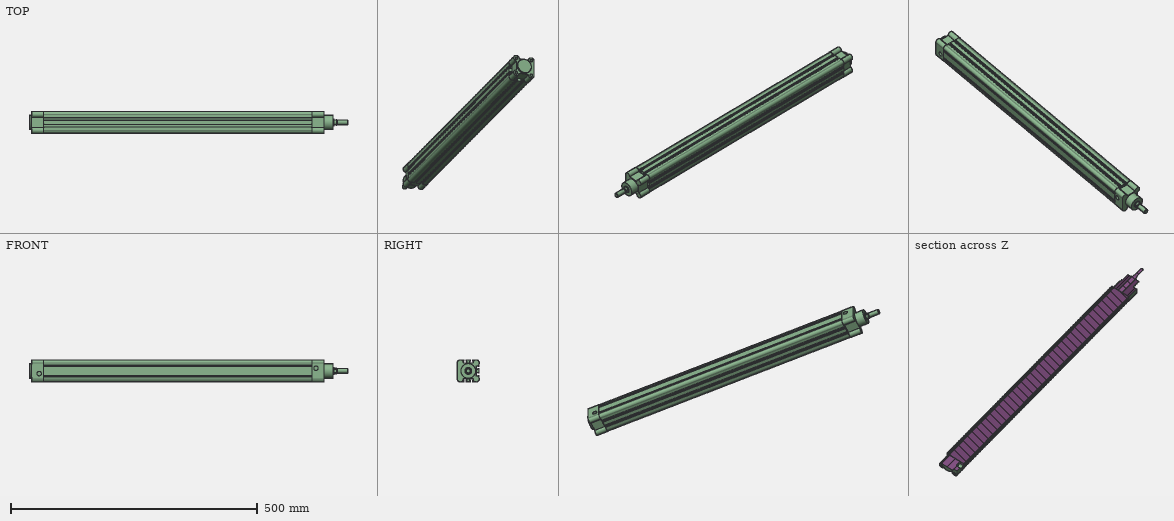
import cadquery as cq

OVERALL_LENGTH = 646.0
CAP_SIDE = 45.0
TUBE_SIDE = 44.5

REAR_CAP_START = 4.0
TUBE_START = 28.5
TUBE_END = 573.0
FRONT_CAP_END = 598.0
COLLAR_END = 616.0
SEAL_END = 617.5
ROD_CHAMFER_START = 623.0
THREAD_START = 625.0

CORNER_RADIUS = 6.25
SPIGOT_RADIUS = 15.0
SEAL_RADIUS = 7.0
SCREW_HOLE_RADIUS = 2.7
SCREW_HOLE_DEPTH = 13.0
PORT_RADIUS = 4.5
PORT_DEPTH = 10.0
PORT_OFFSET = 5.5
REAR_PORT_X = 19.5
FRONT_PORT_X = 581.5

SLOT_INNER = 4.5
SLOT_OUTER = 9.0
SLOT_LIP = 2.5
SLOT_UNDERCUT = 1.0
SLOT_FLOOR = 16.0

GROOVE_INNER = 9.0
GROOVE_OUTER = 12.0
GROOVE_DEPTH = 2.0

ROD_RADIUS = 5.75
THREAD_RADIUS = 5.0
TIP_CHAMFER = 1.0
FLAT_OFFSET = 5.0

HALF_CAP = CAP_SIDE / 2
HALF_TUBE = TUBE_SIDE / 2
PILLAR_CENTRE = HALF_CAP - CORNER_RADIUS
PILLAR_CENTRES = [
    (side_y * PILLAR_CENTRE, side_z * PILLAR_CENTRE)
    for side_y in (-1, 1)
    for side_z in (-1, 1)
]


def plane_at(x):
    """Plane across the cylinder at x, with local axes along Y and Z and its normal along +X."""
    return cq.Workplane("YZ", origin=(x, 0, 0))


def round_section(start, end, radius):
    """Round bar on the cylinder axis from start to end."""
    return plane_at(start).circle(radius).extrude(end - start)


def cap_block(start, end, port_x, port_z):
    """Cap with round corner pillars and an air port in its flat -Y side.

    The pockets between the pillars on the other three sides reach down to the pillar centres.
    """
    length = end - start
    core_width = HALF_CAP + PILLAR_CENTRE
    core_height = 2 * PILLAR_CENTRE
    core = plane_at(start).center((PILLAR_CENTRE - HALF_CAP) / 2, 0)
    block = core.rect(core_width, core_height).extrude(length)
    block = block.union(plane_at(start).pushPoints(PILLAR_CENTRES).circle(CORNER_RADIUS).extrude(length))
    port = (
        cq.Workplane("XZ", origin=(port_x, -HALF_CAP, port_z))
        .circle(PORT_RADIUS)
        .extrude(-PORT_DEPTH)
    )
    return block.cut(port)


def make_rear_cap():
    """Rear cap with a centring spigot and four screw holes in its outer face."""
    cap = cap_block(REAR_CAP_START, TUBE_START, REAR_PORT_X, -PORT_OFFSET)
    cap = cap.union(round_section(0, REAR_CAP_START, SPIGOT_RADIUS))
    holes = (
        plane_at(REAR_CAP_START)
        .pushPoints(PILLAR_CENTRES)
        .circle(SCREW_HOLE_RADIUS)
        .extrude(SCREW_HOLE_DEPTH)
    )
    return cap.cut(holes)


def make_front_cap():
    """Front cap with its collar, rod seal and the bore that the rod runs in."""
    cap = cap_block(TUBE_END, FRONT_CAP_END, FRONT_PORT_X, PORT_OFFSET)
    cap = cap.union(round_section(FRONT_CAP_END, COLLAR_END, SPIGOT_RADIUS))
    cap = cap.union(round_section(COLLAR_END, SEAL_END, SEAL_RADIUS))
    return cap.cut(round_section(TUBE_END, SEAL_END, ROD_RADIUS))


def t_slot(length, side):
    """T-slot in the +Z side of the tube, on the +Y (side = 1) or -Y (side = -1) half of that side."""
    lip_bottom = HALF_TUBE - SLOT_LIP
    points = [
        (SLOT_INNER, HALF_TUBE),
        (SLOT_INNER, lip_bottom),
        (SLOT_INNER - SLOT_UNDERCUT, lip_bottom),
        (SLOT_INNER - SLOT_UNDERCUT, SLOT_FLOOR),
        (SLOT_OUTER + SLOT_UNDERCUT, SLOT_FLOOR),
        (SLOT_OUTER + SLOT_UNDERCUT, lip_bottom),
        (SLOT_OUTER, lip_bottom),
        (SLOT_OUTER, HALF_TUBE),
    ]
    return plane_at(TUBE_START).polyline([(side * y, z) for y, z in points]).close().extrude(length)


def v_groove(length, side):
    """V-groove in the -Y side of the tube, on the +Z (side = 1) or -Z (side = -1) half of that side."""
    middle = (GROOVE_INNER + GROOVE_OUTER) / 2
    points = [
        (-HALF_TUBE, side * GROOVE_INNER),
        (-HALF_TUBE + GROOVE_DEPTH, side * middle),
        (-HALF_TUBE, side * GROOVE_OUTER),
    ]
    return plane_at(TUBE_START).polyline(points).close().extrude(length)


def make_tube():
    """Square profile tube with T-slots on three sides and V-grooves on the -Y side."""
    length = TUBE_END - TUBE_START
    tube = plane_at(TUBE_START).rect(TUBE_SIDE, TUBE_SIDE).extrude(length)
    tube = tube.edges("|X").fillet(CORNER_RADIUS)
    for side in (-1, 1):
        slot = t_slot(length, side)
        for angle in (0, -90, 180):
            tube = tube.cut(slot.rotate((0, 0, 0), (1, 0, 0), angle))
        tube = tube.cut(v_groove(length, side))
    return tube


def make_rod():
    """Piston rod with wrench flats and a thinner threaded end."""
    profile = [
        (TUBE_END, 0),
        (TUBE_END, ROD_RADIUS),
        (ROD_CHAMFER_START, ROD_RADIUS),
        (THREAD_START, THREAD_RADIUS),
        (OVERALL_LENGTH - TIP_CHAMFER, THREAD_RADIUS),
        (OVERALL_LENGTH, THREAD_RADIUS - TIP_CHAMFER),
        (OVERALL_LENGTH, 0),
    ]
    rod = cq.Workplane("XY").polyline(profile).close().revolve(360, (0, 0, 0), (1, 0, 0))
    flat_length = ROD_CHAMFER_START - SEAL_END
    for side in (-1, 1):
        waste = plane_at(SEAL_END).center(side * (FLAT_OFFSET + ROD_RADIUS / 2), 0)
        rod = rod.cut(waste.rect(ROD_RADIUS, 2 * ROD_RADIUS).extrude(flat_length))
    return rod


rear_cap = make_rear_cap()
tube = make_tube()
front_cap = make_front_cap()
rod = make_rod()

result = cq.Compound.makeCompound([rear_cap.val(), tube.val(), front_cap.val(), rod.val()])